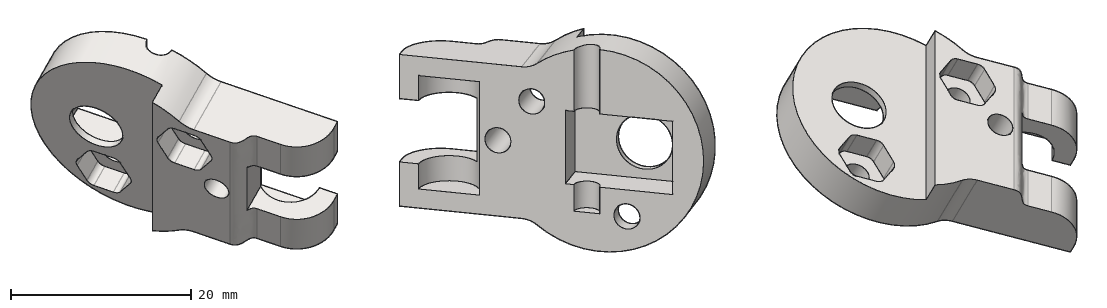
import cadquery as cq
import math


length = 35.1
thickness = 7.5
disc_radius = 12.0
disc_thickness = 4.8
step_x = 15.95
body_half_height = 9.02
neck_radius = 3.0

slot_half_height = 3.75
slot_x = 26.85
arm_thickness = 5.55
shoulder_x = 25.35
shoulder_run = 2.45
shoulder_middle_run = 1.5
shoulder_middle_thickness = 6.25
tip_radius = 4.5
recess_diameter = 7.02
recess_x = 29.4
recess_depth = 3.0

small_diameter = 3.0
large_diameter = 6.45
large_hole_x = 7.95
middle_hole_x = 23.75
nut_centers = [(19.85, 5.02), (8.85, -7.5)]
nut_across_flats = 6.05
nut_corner_radius = 1.0
nut_depth = 3.0
groove_x = 13.48
groove_bottom_z = -7.5
cavity_left = 3.58
cavity_right = 15.95
cavity_half_height = 4.35
web_thickness = 0.88


def cylinder_y(x, z, diameter):
    """Cylinder running through the full thickness along Y."""
    return cq.Workplane("XZ").center(x, z).circle(diameter / 2).extrude(thickness)


def front_outline():
    """Disc blended by concave neck arcs into a rectangular body."""
    center_distance = disc_radius + neck_radius
    neck_z = body_half_height + neck_radius
    neck_dx = math.sqrt(center_distance**2 - neck_z**2)
    neck_x = disc_radius + neck_dx
    join_x = disc_radius + neck_dx * disc_radius / center_distance
    join_z = neck_z * disc_radius / center_distance
    return (
        cq.Workplane("XZ")
        .moveTo(length, -body_half_height)
        .lineTo(length, body_half_height)
        .lineTo(neck_x, body_half_height)
        .radiusArc((join_x, join_z), neck_radius)
        .threePointArc((0, 0), (join_x, -join_z))
        .radiusArc((neck_x, -body_half_height), neck_radius)
        .close()
        .extrude(thickness)
    )


def side_profile():
    """Stepped thickness with an S-shaped shoulder and a rounded arm tip."""
    shoulder_end = (shoulder_x + shoulder_run, -arm_thickness)
    shoulder_middle = (shoulder_x + shoulder_middle_run, -shoulder_middle_thickness)
    return (
        cq.Workplane("XY", origin=(0, 0, -disc_radius))
        .moveTo(0, 0)
        .lineTo(0, -disc_thickness)
        .lineTo(step_x, -disc_thickness)
        .lineTo(step_x, -thickness)
        .lineTo(shoulder_x, -thickness)
        .spline([shoulder_middle, shoulder_end], tangents=[(1, 0), (1, 0)], includeCurrent=True)
        .lineTo(length - tip_radius, -arm_thickness)
        .radiusArc((length, tip_radius - arm_thickness), -tip_radius)
        .lineTo(length, 0)
        .close()
        .extrude(2 * disc_radius)
    )


def nut_pocket(x, z, face_depth):
    """Hexagonal pocket sunk from a front face at the given distance from the back."""
    across_corners = nut_across_flats / math.cos(math.pi / 6)
    return (
        cq.Workplane("XZ", origin=(0, nut_depth - face_depth, 0))
        .center(x, z)
        .polygon(6, across_corners)
        .extrude(nut_depth)
        .edges("|Y")
        .fillet(nut_corner_radius)
    )


result = front_outline().intersect(side_profile())

slot = cq.Workplane("XY").box(
    length - slot_x, thickness, 2 * slot_half_height, centered=(False, False, True)
)
result = result.cut(slot.translate((slot_x, -thickness, 0)))

recess_half_height = slot_half_height + recess_depth
recess = (
    cq.Workplane("XY", origin=(recess_x, 0, -recess_half_height))
    .circle(recess_diameter / 2)
    .extrude(2 * recess_half_height)
)
result = result.cut(recess)

result = result.cut(cylinder_y(large_hole_x, 0, large_diameter))
result = result.cut(cylinder_y(middle_hole_x, 0, small_diameter))

for nut_x, nut_z in nut_centers:
    face_depth = thickness if nut_x > step_x else disc_thickness
    result = result.cut(cylinder_y(nut_x, nut_z, small_diameter))
    result = result.cut(nut_pocket(nut_x, nut_z, face_depth))

cavity_depth = disc_thickness - web_thickness
cavity = cq.Workplane("XY").box(
    cavity_right - cavity_left, cavity_depth, 2 * cavity_half_height, centered=(False, False, True)
)
result = result.cut(cavity.translate((cavity_left, -cavity_depth, 0)))

groove = (
    cq.Workplane("XY", origin=(groove_x, 0, groove_bottom_z))
    .circle(small_diameter / 2)
    .extrude(disc_radius - groove_bottom_z)
)
result = result.cut(groove)